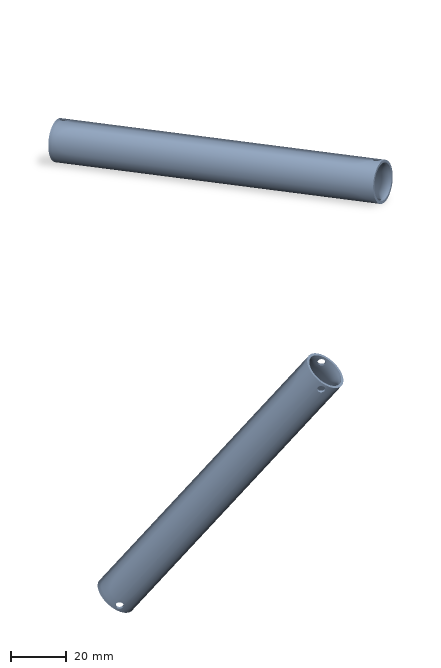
import cadquery as cq

tube_length = 130.0
outer_diameter = 16.0
inner_diameter = 14.0

hole_diameter = 3.0
hole_end_distance = 2.5
hole_offset = tube_length / 2 - hole_end_distance

tube = (
    cq.Workplane("YZ")
    .circle(outer_diameter / 2)
    .circle(inner_diameter / 2)
    .extrude(tube_length / 2, both=True)
)

cross_holes = (
    cq.Workplane("XY")
    .pushPoints([(-hole_offset, 0), (hole_offset, 0)])
    .circle(hole_diameter / 2)
    .extrude(outer_diameter, both=True)
)

result = tube.cut(cross_holes)